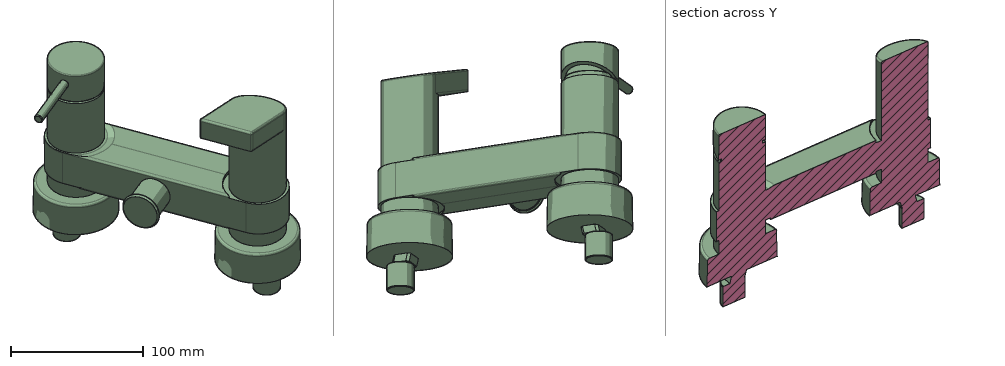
import cadquery as cq
import math

column_x = 75.0
column_radius = 21.7
margin = 1.0

stub_x = 82.5
stub_radius = 10.45
stub_height = 20.0
stub_chamfer = 0.6
link_size_x = 14.2
link_size_y = 17.3
link_chamfer = 2.0
link_base_x = 79.3
link_lean = 0.245
flange_bottom = 26.0
flange_top = 53.2
flange_bottom_radius = 32.5
flange_top_radius = 32.0
flange_fillet = 2.0

body_half_length = 98.95
body_half_width = 23.15
body_bottom = 64.45
body_side_top = 96.25
body_ridge = 0.15
body_fillet = 1.7
pad_radius = 26.5
pad_height = 94.1
lower_pad_height = 65.9
collar_top = 95.2
ramp_inner_radius = 23.9
ramp_outer_radius = 29.6

outlet_z = 80.1
outlet_radius = 13.0
outlet_rim_radius = 15.0
outlet_rim_thickness = 3.0
outlet_rim_edge_radius = 13.9
outlet_end_y = -49.3

groove_bottom = 142.0
groove_top = 143.7
neck_disk_radius = 19.1
neck_disk_top = 146.2
core_radius = 18.4
cap_top = 168.5
cap_fillet = 0.8
cap_relief_slope = 0.422
lever_z = 159.3
lever_radius = 3.45
lever_end_y = -70.09
lever_chamfer = 0.7

spout_angle = 20.0
spout_end_y = -59.2
spout_end_bottom = 173.7
spout_end_top = 191.76
spout_fillet = 1.5


def cylinder(x, radius, bottom, top):
    """Vertical cylinder on the X axis line, between two heights."""
    return cq.Workplane("XY", origin=(x, 0, bottom)).circle(radius).extrude(top - bottom)


def forward_cylinder(x, z, radius, start_y, end_y):
    """Cylinder running towards -Y."""
    return cq.Workplane("XZ", origin=(x, start_y, z)).circle(radius).extrude(start_y - end_y)


def side_prism(profile, x, half_width):
    """Prism along X from a (y, z) outline, centred on the given x."""
    plane = cq.Workplane("YZ", origin=(x - half_width, 0, 0))
    return plane.polyline(profile).close().extrude(2 * half_width)


def wall_connection(side):
    """Threaded stub, leaning link, flange and neck; side is -1 or +1."""
    stub = cylinder(side * stub_x, stub_radius, 0, stub_height)
    stub = stub.faces("<Z or >Z").chamfer(stub_chamfer)

    link_rise = flange_bottom + margin - stub_height
    link_section = (
        cq.Workplane("XY")
        .box(link_size_x, link_size_y, link_rise, centered=(True, True, False))
        .edges("|Z")
        .chamfer(link_chamfer)
        .faces("<Z")
        .wires()
        .val()
        .translate(cq.Vector(side * link_base_x, 0, stub_height))
    )
    lean = cq.Vector(-side * link_lean * link_rise, 0, link_rise)
    link = cq.Solid.extrudeLinear(link_section, [], lean)

    flange_profile = [
        (0, flange_bottom),
        (flange_bottom_radius, flange_bottom),
        (flange_top_radius, flange_top),
        (0, flange_top),
    ]
    flange = (
        cq.Workplane("XZ", origin=(side * column_x, 0, 0))
        .polyline(flange_profile)
        .close()
        .revolve(360, (0, 0), (0, 1))
        .faces(">Z")
        .edges()
        .fillet(flange_fillet)
    )
    neck = cylinder(side * column_x, column_radius, flange_top, lower_pad_height + margin)
    return stub.union(link).union(flange).union(neck)


def bar_body():
    """Round-ended bar with a crowned top and bottom."""
    top = body_side_top + body_ridge
    bottom = body_bottom - body_ridge
    plan = (
        cq.Workplane("XY", origin=(0, 0, bottom))
        .slot2D(2 * body_half_length, 2 * body_half_width)
        .extrude(top - bottom)
    )
    section = [
        (-body_half_width, body_bottom),
        (0, bottom),
        (body_half_width, body_bottom),
        (body_half_width, body_side_top),
        (0, top),
        (-body_half_width, body_side_top),
    ]
    crowned_bar = side_prism(section, 0, body_half_length)
    bar = plan.intersect(crowned_bar)
    ridge_box = cq.selectors.BoxSelector(
        (-body_half_length, -margin, bottom - margin), (body_half_length, margin, top + margin)
    )
    bar = bar.edges(cq.selectors.SubtractSelector(cq.StringSyntaxSelector("not |Z"), ridge_box))
    bar = bar.fillet(body_fillet)
    spout_seat = cylinder(column_x, pad_radius, pad_height, top + margin)
    ramp_profile = [
        (0, collar_top),
        (ramp_inner_radius, collar_top),
        (ramp_outer_radius, top),
        (0, top),
    ]
    mixer_seat = (
        cq.Workplane("XZ", origin=(-column_x, 0, 0))
        .polyline(ramp_profile)
        .close()
        .revolve(360, (0, 0), (0, 1))
    )
    bar = bar.cut(spout_seat).cut(mixer_seat)
    for x in (-column_x, column_x):
        bar = bar.cut(cylinder(x, pad_radius, bottom - margin, lower_pad_height))
    return bar


def outlet():
    """Hand-shower outlet tube with a rounded end rim."""
    tube = forward_cylinder(0, outlet_z, outlet_radius, 0, outlet_end_y)
    rim_start = outlet_end_y + outlet_rim_thickness
    rim_middle = outlet_end_y + outlet_rim_thickness / 2
    rim = (
        cq.Workplane("XY", origin=(0, 0, outlet_z))
        .moveTo(0, rim_start)
        .lineTo(outlet_rim_edge_radius, rim_start)
        .threePointArc((outlet_rim_radius, rim_middle), (outlet_rim_edge_radius, outlet_end_y))
        .lineTo(0, outlet_end_y)
        .close()
        .revolve(360, (0, 0), (0, 1))
    )
    return tube.union(rim)


def mixer_column():
    """Mixer column with a grooved neck, a cap relieved at the back and a lever."""
    lower = cylinder(-column_x, column_radius, pad_height - margin, groove_bottom)
    disk = cylinder(-column_x, neck_disk_radius, groove_bottom, neck_disk_top)
    core = cylinder(-column_x, core_radius, groove_bottom, cap_top - cap_fillet)
    cap = cylinder(-column_x, column_radius, groove_top, cap_top)
    cap = cap.faces(">Z").edges().fillet(cap_fillet)
    relief_reach = column_radius + margin
    relief_profile = [
        (0, groove_top),
        (relief_reach, groove_top),
        (relief_reach, groove_top + relief_reach * cap_relief_slope),
    ]
    relief = side_prism(relief_profile, -column_x, relief_reach)
    lever = forward_cylinder(-column_x, lever_z, lever_radius, 0, lever_end_y)
    lever = lever.faces("<Y").chamfer(lever_chamfer)
    return lower.union(cap.cut(relief)).union(core).union(disk).union(lever)


def spout_column():
    """Column whose top carries a flat spout rising towards -Y."""
    tilt = math.radians(spout_angle)
    back_y = column_radius
    slope = math.tan(tilt)
    drop = (back_y - spout_end_y) * slope
    plan = (
        cq.Workplane("XY", origin=(column_x, 0, pad_height))
        .moveTo(-column_radius, spout_end_y)
        .lineTo(column_radius, spout_end_y)
        .lineTo(column_radius, 0)
        .threePointArc((0, column_radius), (-column_radius, 0))
        .close()
        .extrude(spout_end_top - pad_height)
    )
    side_profile = [
        (spout_end_y, pad_height),
        (spout_end_y, spout_end_top),
        (back_y, spout_end_top - drop),
        (back_y, pad_height),
    ]
    slab_profile = [
        (spout_end_y, spout_end_bottom),
        (spout_end_y, spout_end_top),
        (back_y, spout_end_top - drop),
        (back_y, spout_end_bottom - drop),
    ]
    end_middle = (spout_end_bottom + spout_end_top) / 2
    lower_profile = [
        (spout_end_y, pad_height),
        (spout_end_y, end_middle),
        (0, end_middle + spout_end_y * slope),
        (0, pad_height),
    ]
    slab_normal = cq.Vector(0, math.sin(tilt), math.cos(tilt))
    slab_length = cq.Vector(0, -math.cos(tilt), math.sin(tilt))

    spout = plan.intersect(side_prism(side_profile, column_x, column_radius))
    top_edges = spout.faces(cq.selectors.DirectionMinMaxSelector(slab_normal)).edges().vals()
    end_edges = spout.faces("<Y").edges("|Z").vals()
    spout = spout.newObject(top_edges + end_edges).fillet(spout_fillet)

    slab = side_prism(slab_profile, column_x, column_radius)
    slab = (
        slab.faces(cq.selectors.DirectionMinMaxSelector(slab_normal, False))
        .edges(cq.selectors.ParallelDirSelector(slab_length))
        .fillet(spout_fillet)
    )
    column = cylinder(column_x, column_radius, pad_height, spout_end_top)
    space_below = side_prism(lower_profile, column_x, column_radius).cut(slab).cut(column)
    return spout.cut(space_below)


result = bar_body().union(outlet()).union(mixer_column()).union(spout_column())
for side in (-1, 1):
    result = result.union(wall_connection(side))